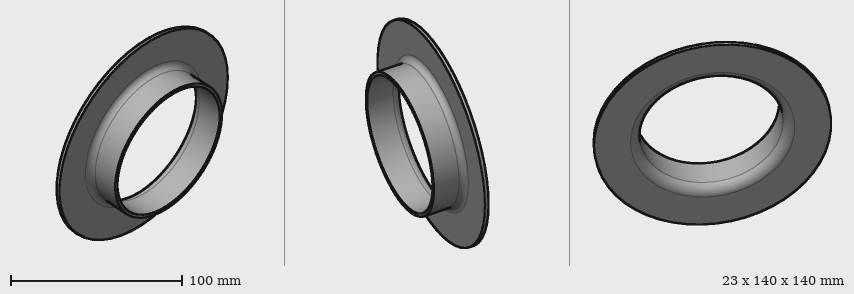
import cadquery as cq
import math

flange_diameter = 140.0
collar_outer_diameter = 88.9
bore_diameter = 84.8
total_length = 23.0
flange_thickness = 2.5
mouth_bend_radius = 6.0
fillet_radius = 4.0

flange_radius = flange_diameter / 2
collar_radius = collar_outer_diameter / 2
bore_radius = bore_diameter / 2


def bend_midpoint(center, radius):
    """Middle of a quarter arc facing the flange face and the axis."""
    offset = radius * math.sqrt(0.5)
    return (center[0] - offset, center[1] - offset)


fillet_center = (flange_thickness + fillet_radius, collar_radius + fillet_radius)
mouth_center = (mouth_bend_radius, bore_radius + mouth_bend_radius)

half_section = (
    cq.Workplane("XY")
    .moveTo(0, mouth_center[1])
    .lineTo(0, flange_radius)
    .lineTo(flange_thickness, flange_radius)
    .lineTo(flange_thickness, fillet_center[1])
    .threePointArc(
        bend_midpoint(fillet_center, fillet_radius),
        (fillet_center[0], collar_radius),
    )
    .lineTo(total_length, collar_radius)
    .lineTo(total_length, bore_radius)
    .lineTo(mouth_center[0], bore_radius)
    .threePointArc(
        bend_midpoint(mouth_center, mouth_bend_radius),
        (0, mouth_center[1]),
    )
    .close()
)

result = half_section.revolve(360, (0, 0, 0), (1, 0, 0))